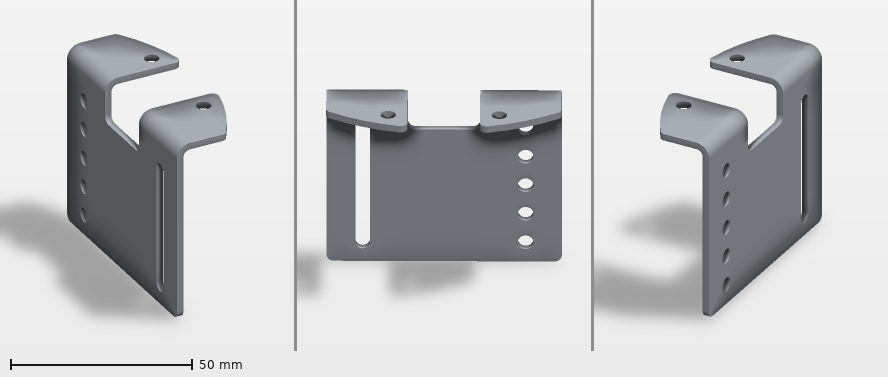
import cadquery as cq

thickness = 2.0
bend_outer_radius = 4.0
bend_inner_radius = bend_outer_radius - thickness
corner_radius = 2.0

width = 65.0
height = 54.5

notch_width = 20.0
notch_depth = 13.0

tab_arc_radius = 58.0
tab_arc_center_y = -32.85

blank_depth = tab_arc_center_y + tab_arc_radius

hole_diameter = 4.3
hole_count = 5
hole_pitch = 9.0
lowest_hole_height = 6.0
hole_column_span = (hole_count - 1) * hole_pitch
column_offset_x = 22.5
slot_width = 4.1
tab_hole_offset_x = 15.35
tab_hole_y = 17.35


def bent_sheet():
    """L-shaped strip of constant thickness with a rounded bend."""
    tab_underside = height - thickness
    strip = (
        cq.Workplane("YZ")
        .polyline([
            (0, 0),
            (thickness, 0),
            (thickness, tab_underside),
            (blank_depth, tab_underside),
            (blank_depth, height),
            (0, height),
        ])
        .close()
        .extrude(width / 2, both=True)
    )
    outer_bend = cq.selectors.NearestToPointSelector((0, 0, height))
    inner_bend = cq.selectors.NearestToPointSelector((0, thickness, tab_underside))
    strip = strip.edges(outer_bend).fillet(bend_outer_radius)
    return strip.edges(inner_bend).fillet(bend_inner_radius)


def notch():
    """Opening through the bend, with rounded bottom corners."""
    return (
        cq.Workplane("XY", origin=(0, 0, height - notch_depth))
        .box(notch_width, blank_depth, notch_depth, centered=(True, False, False))
        .edges("|Y and <Z")
        .fillet(corner_radius)
    )


def tab_trim():
    """Cylinder whose wall forms the rear edge of both tabs."""
    return (
        cq.Workplane("XY")
        .center(0, tab_arc_center_y)
        .circle(tab_arc_radius)
        .extrude(height)
    )


def round_corners(sheet):
    """Round the bottom corners of the plate and the rear corners of the tabs."""
    tab_region = cq.selectors.BoxSelector(
        (-width, bend_outer_radius, height - bend_outer_radius),
        (width, blank_depth, height),
    )
    sheet = sheet.faces("<Z").edges("|Y").fillet(corner_radius)
    return sheet.edges(tab_region).edges("|Z").fillet(corner_radius)


def plate_holes():
    """Column of round holes through the upright plate."""
    centers = [(-column_offset_x, lowest_hole_height + i * hole_pitch) for i in range(hole_count)]
    return cq.Workplane("XZ").pushPoints(centers).circle(hole_diameter / 2).extrude(-thickness)


def plate_slot():
    """Vertical slot whose end centres level with the lowest and highest plate holes."""
    return (
        cq.Workplane("XZ")
        .center(column_offset_x, lowest_hole_height + hole_column_span / 2)
        .slot2D(hole_column_span + slot_width, slot_width, 90)
        .extrude(-thickness)
    )


def tab_holes():
    """One round hole through each tab."""
    centers = [(side * tab_hole_offset_x, tab_hole_y) for side in (-1, 1)]
    return (
        cq.Workplane("XY", origin=(0, 0, height))
        .pushPoints(centers)
        .circle(hole_diameter / 2)
        .extrude(-thickness)
    )


bracket = round_corners(bent_sheet().cut(notch()).intersect(tab_trim()))
result = bracket.cut(plate_holes()).cut(plate_slot()).cut(tab_holes())